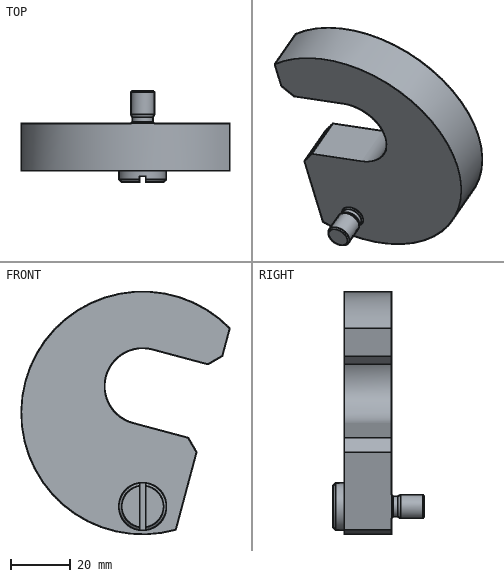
import cadquery as cq

disc_radius = 40.9
thickness = 16.0

slot_tilt = -15.0
slot_radius = 12.8
slot_center_z = 9.0
slot_center_to_end_face = 23.3
mouth_chamfer = 4.0

screw_z = -31.5
head_radius = 8.0
head_height = 3.85
head_chamfer = 1.0
driver_slot_width = 2.0
driver_slot_depth = 2.0
stud_radius = 4.0
stud_length = 11.0
stud_tip_chamfer = 0.5
neck_radius = 3.5
thread_length = 7.95
neck_taper_length = 1.0


def extrude_back(outline):
    """Extrude an XZ outline from the front face toward +Y."""
    return outline.extrude(-thickness)


def make_plate():
    disc = extrude_back(cq.Workplane("XZ").circle(disc_radius))

    reach = 2 * disc_radius
    mouth_half_width = slot_radius + mouth_chamfer
    chamfer_start = slot_center_to_end_face - mouth_chamfer
    slot = extrude_back(
        cq.Workplane("XZ")
        .moveTo(0, slot_radius)
        .lineTo(chamfer_start, slot_radius)
        .lineTo(slot_center_to_end_face, mouth_half_width)
        .lineTo(slot_center_to_end_face, -mouth_half_width)
        .lineTo(chamfer_start, -slot_radius)
        .lineTo(0, -slot_radius)
        .threePointArc((-slot_radius, 0), (0, slot_radius))
        .close()
    )
    beyond_end_face = extrude_back(
        cq.Workplane("XZ")
        .center(slot_center_to_end_face + reach / 2, 0)
        .rect(reach, 2 * reach)
    )
    cutter = (
        slot.union(beyond_end_face)
        .rotate((0, 0, 0), (0, -1, 0), slot_tilt)
        .translate((0, 0, slot_center_z))
    )
    return disc.cut(cutter)


def make_screw():
    stud_end = thickness + stud_length
    neck_start = stud_end - thread_length - neck_taper_length
    neck_flare = stud_radius - neck_radius
    profile = [
        (0, -head_height),
        (head_radius - head_chamfer, -head_height),
        (head_radius, -head_height + head_chamfer),
        (head_radius, 0),
        (stud_radius, 0),
        (stud_radius, thickness),
        (neck_radius, thickness + neck_flare),
        (neck_radius, neck_start),
        (stud_radius, stud_end - thread_length),
        (stud_radius, stud_end - stud_tip_chamfer),
        (stud_radius - stud_tip_chamfer, stud_end),
        (0, stud_end),
    ]
    body = cq.Workplane("XY").polyline(profile).close().revolve(360, (0, 0), (0, 1))
    driver_slot = cq.Workplane("XY").box(
        driver_slot_width, driver_slot_depth, 2 * head_radius
    ).translate((0, -head_height + driver_slot_depth / 2, 0))
    return body.cut(driver_slot).translate((0, 0, screw_z))


result = make_plate().union(make_screw())